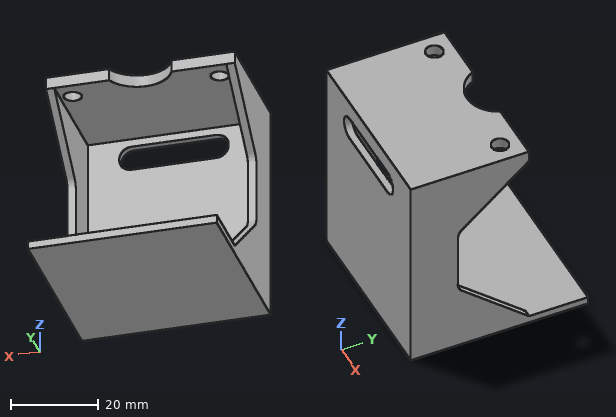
import cadquery as cq

width = 45.0
depth = 45.0
height = 53.0

floor_thickness = 2.0
front_thickness = 2.0
side_thickness = 2.0
top_thickness = 3.0

top_depth = 30.0
waist_depth = 12.0
ramp_rise = 15.4
waist_fillet = 3.0

slot_length = 26.0
slot_height = 6.0
slot_top_gap = 5.0

notch_radius = 8.0
notch_bottom_y = 25.0
hole_diameter = 4.2
hole_spacing = 35.0
hole_y = notch_bottom_y


def make_body():
    """Side outline extruded across the full width, with a rounded waist."""
    lip_bottom = height - top_thickness
    waist_bottom = floor_thickness + ramp_rise
    waist_top = lip_bottom - ramp_rise
    outline = [
        (0, 0),
        (depth, 0),
        (depth, floor_thickness),
        (top_depth, floor_thickness),
        (waist_depth, waist_bottom),
        (waist_depth, waist_top),
        (top_depth, lip_bottom),
        (top_depth, height),
        (0, height),
    ]
    body = cq.Workplane("YZ").polyline(outline).close().extrude(width / 2, both=True)
    waist_middle = (waist_bottom + waist_top) / 2
    waist_face = body.faces(cq.selectors.NearestToPointSelector((0, waist_depth, waist_middle)))
    return waist_face.edges("|X").fillet(waist_fillet)


def make_cavity():
    """Space between the walls, open at the rear."""
    return cq.Workplane("XY").box(
        width - 2 * side_thickness,
        depth,
        height - floor_thickness - top_thickness,
        centered=(True, False, False),
    ).translate((0, front_thickness, floor_thickness))


def make_grip_slot():
    slot_z = height - slot_top_gap - slot_height / 2
    return (
        cq.Workplane("XZ")
        .center(0, slot_z)
        .slot2D(slot_length, slot_height)
        .extrude(-front_thickness)
    )


def make_top_openings():
    """Rear notch and two screw holes, all through the top plate."""
    top_plate_bottom = cq.Workplane("XY", origin=(0, 0, height - top_thickness))
    notch = (
        top_plate_bottom.center(0, notch_bottom_y + notch_radius)
        .circle(notch_radius)
        .extrude(top_thickness)
    )
    holes = (
        top_plate_bottom.pushPoints([(side * hole_spacing / 2, hole_y) for side in (-1, 1)])
        .circle(hole_diameter / 2)
        .extrude(top_thickness)
    )
    return notch.union(holes)


result = make_body().cut(make_cavity()).cut(make_grip_slot()).cut(make_top_openings())